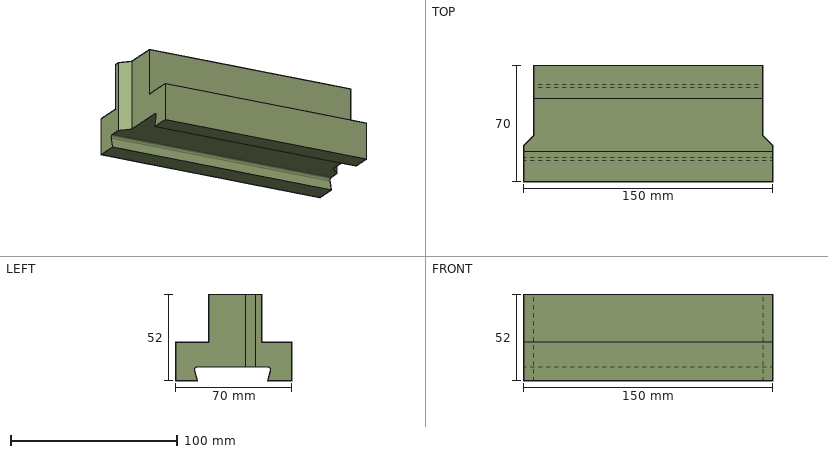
import cadquery as cq
import math

length = 150.0
width = 70.0
height = 52.0

ledge_height = 23.2
front_ledge_width = 18.2
back_ledge_width = 19.8

groove_depth = 8.2
front_lip_width = 14.7
back_lip_width = 13.2
dovetail_angle = 15.0
groove_corner_radius = 1.5

end_relief = 6.0
relief_start = 21.9

front = -width / 2
back = width / 2
half_length = length / 2


def extrude_along_length(points):
    """Extrude a YZ outline over the full length, centred on X = 0."""
    return cq.Workplane("YZ").polyline(points).close().extrude(half_length, both=True)


def make_body():
    stem_front = front + front_ledge_width
    stem_back = back - back_ledge_width
    return extrude_along_length([
        (front, 0),
        (back, 0),
        (back, ledge_height),
        (stem_back, ledge_height),
        (stem_back, height),
        (stem_front, height),
        (stem_front, ledge_height),
        (front, ledge_height),
    ])


def make_groove():
    undercut = groove_depth * math.tan(math.radians(dovetail_angle))
    mouth_front = front + front_lip_width
    mouth_back = back - back_lip_width
    groove = extrude_along_length([
        (mouth_front, 0),
        (mouth_back, 0),
        (mouth_back + undercut, groove_depth),
        (mouth_front - undercut, groove_depth),
    ])
    return groove.faces(">Z").edges("|X").fillet(groove_corner_radius)


def make_plan():
    """Full-height block with the outline seen from above."""
    short_half = half_length - end_relief
    relief_front = front + relief_start
    relief_full = relief_front + end_relief
    return (
        cq.Workplane("XY")
        .polyline([
            (-half_length, front),
            (half_length, front),
            (half_length, relief_front),
            (short_half, relief_full),
            (short_half, back),
            (-short_half, back),
            (-short_half, relief_full),
            (-half_length, relief_front),
        ])
        .close()
        .extrude(height)
    )


result = make_body().intersect(make_plan()).cut(make_groove())